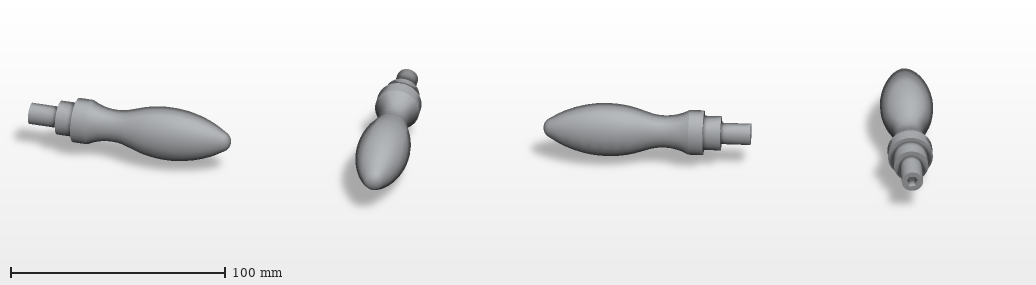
import cadquery as cq
import math

total_length = 97.0
spindle_length = 13.9
shoulder_end = 22.0
spindle_radius = 10.0 / 2
shoulder_radius = 16.0 / 2
collar_radius = 21.0 / 2

neck_radius = 15.0 / 2
neck_curve = 24.25
bulge_radius = 24.8 / 2
bulge_curve = 50.8
tip_curve = 5.0

socket_flats = 5.0
socket_depth = 6.0
cone_tip_angle = 118.0


def point_on_arc(center, radius, toward):
    """Point at a radius from the center, in the direction of another point."""
    dx = toward[0] - center[0]
    dy = toward[1] - center[1]
    distance = math.hypot(dx, dy)
    return (center[0] + dx * radius / distance, center[1] + dy * radius / distance)


tip_center = (total_length - tip_curve, 0.0)
bulge_center_y = bulge_radius - bulge_curve
bulge_center = (
    tip_center[0] - math.sqrt((bulge_curve - tip_curve) ** 2 - bulge_center_y**2),
    bulge_center_y,
)
neck_center_y = neck_radius + neck_curve
neck_center = (
    bulge_center[0] - math.sqrt((neck_curve + bulge_curve) ** 2 - (neck_center_y - bulge_center_y) ** 2),
    neck_center_y,
)

collar_end = neck_center[0] - math.sqrt(neck_curve**2 - (neck_center_y - collar_radius) ** 2)
neck_end = point_on_arc(neck_center, neck_curve, bulge_center)
tip_start = point_on_arc(bulge_center, bulge_curve, tip_center)
tip_half_angle = math.atan2(tip_start[1], tip_start[0] - tip_center[0]) / 2
tip_middle = (
    tip_center[0] + tip_curve * math.cos(tip_half_angle),
    tip_curve * math.sin(tip_half_angle),
)


def make_handle():
    """Revolve the stepped spindle and curved grip about the X axis."""
    return (
        cq.Workplane("XY")
        .lineTo(0, spindle_radius)
        .lineTo(spindle_length, spindle_radius)
        .lineTo(spindle_length, shoulder_radius)
        .lineTo(shoulder_end, shoulder_radius)
        .lineTo(shoulder_end, collar_radius)
        .lineTo(collar_end, collar_radius)
        .threePointArc((neck_center[0], neck_radius), neck_end)
        .threePointArc((bulge_center[0], bulge_radius), tip_start)
        .threePointArc(tip_middle, (total_length, 0))
        .close()
        .revolve(360, (0, 0, 0), (1, 0, 0))
    )


def make_socket():
    """Hexagonal recess with two flats facing Z, ending in a cone."""
    corner_radius = socket_flats / math.sqrt(3)
    cone_length = corner_radius / math.tan(math.radians(cone_tip_angle / 2))
    length = socket_depth + cone_length
    hexagon = cq.Workplane("YZ").polygon(6, 2 * corner_radius).extrude(length)
    envelope = (
        cq.Workplane("XY")
        .lineTo(0, corner_radius)
        .lineTo(socket_depth, corner_radius)
        .lineTo(length, 0)
        .close()
        .revolve(360, (0, 0, 0), (1, 0, 0))
    )
    return hexagon.intersect(envelope)


result = make_handle().cut(make_socket())